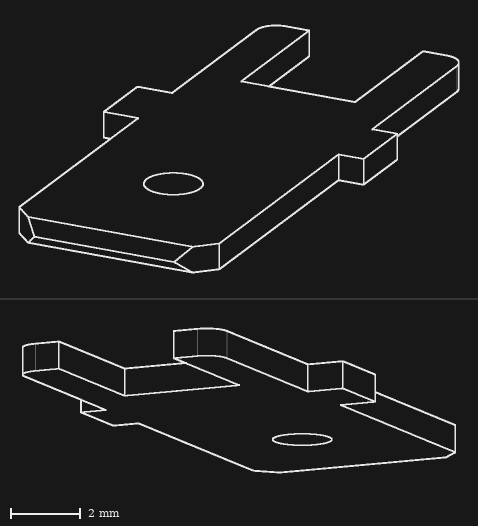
import cadquery as cq

length = 16.99
thickness = 0.8
blade_width = 6.4
half_width = blade_width / 2

left_shoulder = 1.1
right_shoulder = 0.8
shoulder_start = 8.7
shoulder_length = 2.2

slot_width = 3.64
slot_depth = 4.42
prong_radius = 0.63

corner_cut = 0.97
bevel_length = thickness / 2
hole_diameter = 1.7
hole_from_tip = 4.55
hole_offset = -0.03


def make_blade():
    """Flat blade with clipped corners at the tip and rounded prong corners."""
    blade = cq.Workplane("XY").rect(blade_width, length).extrude(thickness)
    blade = blade.translate((0, length / 2, 0))
    blade = blade.edges("|Z and <Y").chamfer(corner_cut)
    return blade.edges("|Z and >Y").fillet(prong_radius)


def make_shoulders():
    """Cross bar whose ends form the two side shoulders."""
    bar_width = left_shoulder + blade_width + right_shoulder
    bar = cq.Workplane("XY").box(bar_width, shoulder_length, thickness, centered=False)
    return bar.translate((-half_width - left_shoulder, shoulder_start, 0))


def make_slot():
    """Open-ended slot that separates the prongs."""
    slot = cq.Workplane("XY").box(slot_width, slot_depth, thickness, centered=False)
    return slot.translate((-slot_width / 2, length - slot_depth, 0))


def make_hole():
    """Round detent hole through the blade."""
    hole = cq.Workplane("XY").center(hole_offset, hole_from_tip)
    return hole.circle(hole_diameter / 2).extrude(thickness)


def make_tip_bevels():
    """Wedges above and below the tip that leave a sharp edge at mid thickness."""
    middle = thickness / 2
    wedges = cq.Workplane("YZ", origin=(-half_width, 0, 0))
    for face_height in (0, thickness):
        wedges = wedges.polyline([(0, middle), (0, face_height), (bevel_length, face_height)]).close()
    return wedges.extrude(blade_width)


result = make_blade().union(make_shoulders())
result = result.cut(make_slot()).cut(make_hole()).cut(make_tip_bevels())